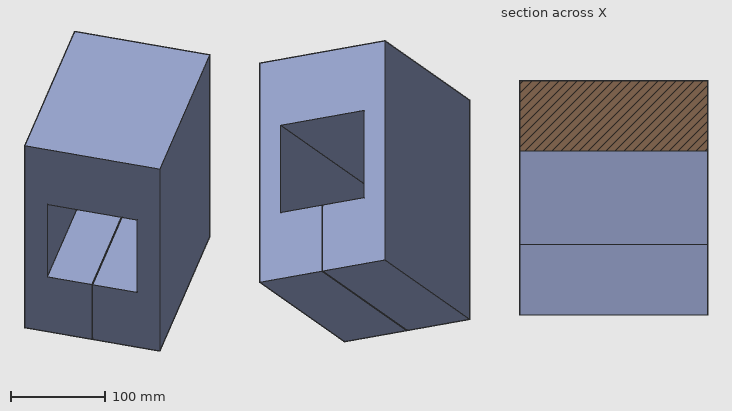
import cadquery as cq

opening_size = 99.0
side_wall = 25.0
end_wall = 75.0
slit_width = 1.0

width = opening_size + 2 * side_wall
depth = 200.0
height = opening_size + 2 * end_wall


def make_block():
    """Solid block centred on the origin."""
    return cq.Workplane("XY").box(width, depth, height)


def make_opening():
    """Square passage running the full depth along Y."""
    return cq.Workplane("XY").box(opening_size, depth, opening_size)


def make_slit():
    """Thin gap from the opening down through the bottom face, on the X centre."""
    slit_height = height / 2
    return cq.Workplane("XY").box(slit_width, depth, slit_height).translate((0, 0, -slit_height / 2))


result = make_block().cut(make_opening()).cut(make_slit())